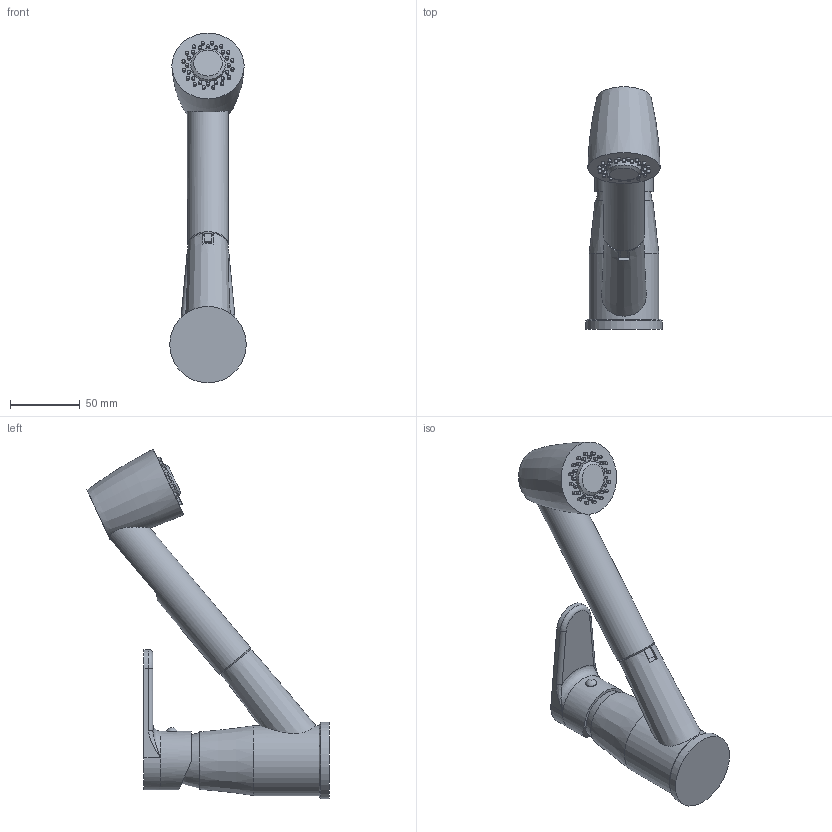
import cadquery as cq
import math


flange_radius = 27.35
flange_length = 7.1
flange_chamfer = 1.2
body_radius = 25.0
barrel_end = 54.0
shoulder_radius = 20.6
shoulder_end = 92.5
dome_start_radius = 20.0
dome_mid_radius = 19.0
dome_end_radius = 15.4
dome_end = 107.5

handle_radius = 21.0
handle_start = 98.5
handle_end = 132.6
skirt_end_at_bottom = 107.6
lever_thickness = 6.5
lever_tilt = math.radians(5.2)
lever_tip_radius = 15.0
lever_top = 79.5
lever_root_fillet = 5.5
lever_edge_fillet = 3.0

button_radius = 4.0
button_place = 112.6
button_seat = 17.0
button_rim = 20.8
button_top = 23.6

tube_angle = math.radians(50.0)
seam = 97.0
tube_radius = 14.7
tube_topside = 8.9
tube_end = 232.0
seam_chamfer = 1.0
outlet_start = 20.0
outlet_start_radius = 16.2
outlet_end_radius = 14.2
outlet_overrun = 2.0
grip_step_start = 166.5
grip_step_end = 171.0
grip_offset = 17.7

notch_width = 7.5
notch_length = 10.0
notch_depth = 2.5
key_width = 5.6
key_length = 7.3
key_recess = 0.8

head_angle = math.radians(25.0)
head_length = 55.2
head_rear_radius = 19.5
head_mid_radius = 24.1
head_face_radius = 25.9
head_rear_y = 165.09
head_rear_z = 176.2
disc_radius = 12.3
disc_height = 4.8
disc_chamfer_width = 2.1
disc_chamfer_height = 1.5
nozzle_radius = 1.1
nozzle_height = 2.2
nozzles_per_ring = 16
nozzle_rings = [(14.8, 0.0), (17.8, 12.5)]

reach = 100.0

tube_plane = cq.Plane(
    origin=(0, 0, 0),
    xDir=(1, 0, 0),
    normal=(0, math.cos(tube_angle), math.sin(tube_angle)),
)
tube_side_plane = cq.Plane(
    origin=(0, 0, 0),
    xDir=(0, math.cos(tube_angle), math.sin(tube_angle)),
    normal=(-1, 0, 0),
)
head_plane = cq.Plane(
    origin=(0, head_rear_y, head_rear_z),
    xDir=(1, 0, 0),
    normal=(0, -math.cos(head_angle), math.sin(head_angle)),
)


def around_y(profile):
    """Revolve a closed (radius, y) profile about the Y axis."""
    return profile.revolve(360, (0, 0, 0), (0, 1, 0))


def tube_disc(start, offset, radius):
    """Circle across the tube, at a place along it and an offset towards its underside."""
    return cq.Workplane(tube_plane).workplane(offset=start).center(0, offset).circle(radius)


def top_block(width, length, recess):
    """Block reaching down from the seam; it rises from the notch floor to a recess below the topside."""
    height = notch_depth - recess
    middle = notch_depth - tube_topside - height / 2
    return (
        cq.Workplane(tube_plane)
        .workplane(offset=seam - length)
        .center(0, middle)
        .rect(width, height)
        .extrude(length)
    )


def make_dome():
    return around_y(
        cq.Workplane("XY")
        .moveTo(0, barrel_end)
        .lineTo(dome_start_radius, barrel_end)
        .lineTo(dome_start_radius, shoulder_end)
        .threePointArc((dome_mid_radius, handle_start), (dome_end_radius, dome_end))
        .lineTo(0, dome_end)
        .close()
    )


def make_outlet():
    """Cone whose axis is tilted so that its topside stays parallel to the tube."""
    axis_start = outlet_start_radius - tube_topside
    axis_drop = (outlet_end_radius - outlet_start_radius) / (seam - outlet_start)
    cone_end = seam + outlet_overrun
    axis_end = axis_start + axis_drop * (cone_end - outlet_start)
    cone = (
        cq.Workplane(tube_side_plane)
        .moveTo(outlet_start, axis_start)
        .lineTo(outlet_start, -tube_topside)
        .lineTo(cone_end, -tube_topside)
        .lineTo(cone_end, axis_end)
        .close()
        .revolve(360, (outlet_start, axis_start, 0), (cone_end, axis_end, 0))
    )
    return cone.intersect(cq.Workplane(tube_plane).circle(reach).extrude(seam))


def make_body():
    barrel = around_y(
        cq.Workplane("XY")
        .moveTo(0, 0)
        .lineTo(flange_radius, 0)
        .lineTo(flange_radius, flange_length - flange_chamfer)
        .lineTo(flange_radius - flange_chamfer, flange_length)
        .lineTo(body_radius, flange_length)
        .lineTo(body_radius, barrel_end)
        .lineTo(shoulder_radius, shoulder_end)
        .lineTo(0, shoulder_end)
        .close()
    )
    notch = top_block(notch_width, notch_length, -notch_depth)
    return barrel.union(make_dome()).union(make_outlet()).cut(notch)


def make_handle():
    """Round cap on the dome, with a tapered lever tangent to it and flaring into it at the root."""
    tangent_x = math.cos(lever_tilt)
    tangent_z = math.sin(lever_tilt)
    tip_z = lever_top - lever_tip_radius
    inner_face = handle_end - lever_thickness
    flare_start = inner_face - lever_root_fillet
    blank = (
        cq.Workplane("XZ", origin=(0, handle_end, 0))
        .moveTo(-handle_radius * tangent_x, handle_radius * tangent_z)
        .lineTo(-lever_tip_radius * tangent_x, tip_z + lever_tip_radius * tangent_z)
        .threePointArc(
            (0, lever_top),
            (lever_tip_radius * tangent_x, tip_z + lever_tip_radius * tangent_z),
        )
        .lineTo(handle_radius * tangent_x, handle_radius * tangent_z)
        .threePointArc((0, -handle_radius), (-handle_radius * tangent_x, handle_radius * tangent_z))
        .close()
        .extrude(handle_end - flare_start)
    )
    flare_middle = lever_root_fillet * math.sqrt(0.5)
    flare = around_y(
        cq.Workplane("XY")
        .moveTo(0, flare_start)
        .lineTo(handle_radius, flare_start)
        .threePointArc(
            (handle_radius + lever_root_fillet - flare_middle, flare_start + flare_middle),
            (handle_radius + lever_root_fillet, inner_face),
        )
        .lineTo(reach, inner_face)
        .lineTo(reach, handle_end)
        .lineTo(0, handle_end)
        .close()
    )
    barrel = (
        cq.Workplane("XZ", origin=(0, flare_start, 0))
        .circle(handle_radius)
        .extrude(flare_start - handle_start)
    )
    tip_edge = cq.selectors.NearestToPointSelector((0, inner_face, lever_top))
    handle = barrel.union(blank.intersect(flare)).edges(tip_edge).fillet(lever_edge_fillet)
    skirt_cut = (
        cq.Workplane("YZ")
        .moveTo(handle_start, 0)
        .lineTo(skirt_end_at_bottom, -handle_radius)
        .lineTo(handle_start, -handle_radius)
        .close()
        .extrude(reach, both=True)
    )
    return handle.cut(skirt_cut).cut(make_dome()).cut(make_button())


def make_button():
    crown_height = button_top - button_rim
    crown_radius = (button_radius**2 + crown_height**2) / (2 * crown_height)
    profile = (
        cq.Workplane("XZ", origin=(0, button_place, 0))
        .moveTo(0, button_seat)
        .lineTo(button_radius, button_seat)
        .lineTo(button_radius, button_rim)
        .radiusArc((0, button_top), -crown_radius)
        .close()
    )
    return profile.revolve(360, (0, 0, 0), (0, 1, 0))


def make_head():
    shell = (
        cq.Workplane("XY")
        .lineTo(head_rear_radius, 0)
        .threePointArc((head_mid_radius, head_length / 2), (head_face_radius, head_length))
        .lineTo(disc_radius, head_length)
        .lineTo(disc_radius, head_length + disc_height - disc_chamfer_height)
        .lineTo(disc_radius - disc_chamfer_width, head_length + disc_height)
        .lineTo(0, head_length + disc_height)
        .close()
    )
    upright = around_y(shell).rotate((0, 0, 0), (1, 0, 0), 90)
    head = cq.Workplane(upright.val().moved(head_plane.location))
    for ring_radius, start_angle in nozzle_rings:
        nozzles = (
            cq.Workplane(head_plane)
            .workplane(offset=head_length)
            .polarArray(ring_radius, start_angle, 360, nozzles_per_ring)
            .circle(nozzle_radius)
            .extrude(nozzle_height)
        )
        head = head.union(nozzles)
    return head


def make_spray():
    tube = tube_disc(seam, tube_radius - tube_topside, tube_radius).extrude(tube_end - seam)
    seam_face = cq.selectors.DirectionMinMaxSelector(tube_plane.zDir, False)
    tube = tube.faces(seam_face).chamfer(seam_chamfer)
    grip_cut = (
        cq.Workplane(tube_side_plane)
        .moveTo(grip_step_start, 2 * tube_radius - tube_topside)
        .lineTo(grip_step_end, grip_offset)
        .lineTo(tube_end, grip_offset)
        .lineTo(tube_end, 2 * tube_radius - tube_topside)
        .close()
        .extrude(reach, both=True)
    )
    ahead_of_head_rear = cq.Workplane(head_plane).circle(2 * reach).extrude(2 * reach)
    tube = tube.cut(grip_cut).intersect(ahead_of_head_rear)
    key = top_block(key_width, key_length, key_recess)
    return tube.union(key).union(make_head())


body = make_body()
handle = make_handle()
button = make_button()
spray = make_spray()

result = cq.Compound.makeCompound([body.val(), handle.val(), button.val(), spray.val()])